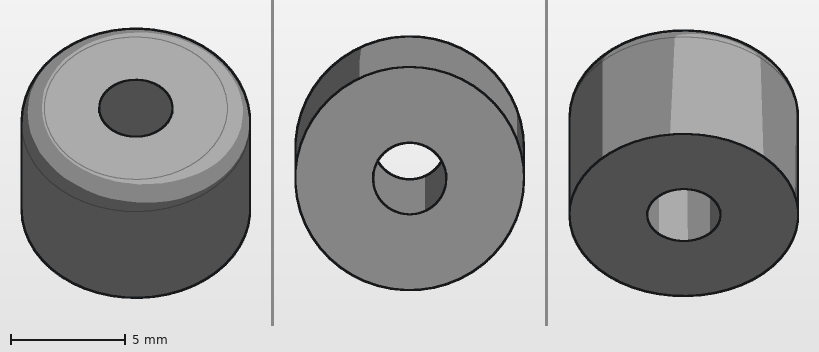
import cadquery as cq

outer_diameter = 10.0
height = 7.0
bore_diameter = 3.2
top_edge_radius = 1.0


def make_body():
    """Cylinder standing on the XY plane with a rounded top rim."""
    cylinder = cq.Workplane("XY").circle(outer_diameter / 2).extrude(height)
    return cylinder.faces(">Z").edges().fillet(top_edge_radius)


def make_bore():
    """Cylinder that cuts the through hole along the axis."""
    return cq.Workplane("XY").circle(bore_diameter / 2).extrude(height)


result = make_body().cut(make_bore())